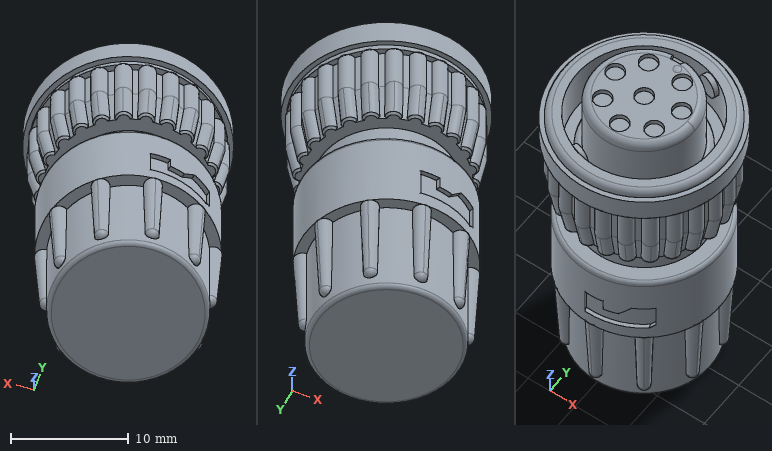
import cadquery as cq
import math


sleeve_top_z = 9.8
collar_top_z = 17.57
nut_bottom_z = 20.52
knurl_bend_z = 23.85
knurl_top_z = 27.95
flange_bottom_z = 28.45
flange_top_z = 30.8
rim_z = 31.48
total_height = 33.92
key_dot_height = 0.07
insert_top_z = total_height - key_dot_height

sleeve_radius = 7.0
sleeve_edge_fillet = 0.4

sleeve_rib_count = 10
sleeve_rib_tip_z = 1.8
sleeve_rib_first_angle = -90.0
sleeve_rib_top_radius = 0.8
sleeve_rib_tip_radius = 0.6
sleeve_rib_top_center = 7.22
sleeve_rib_tip_center = 7.0

collar_radius = 8.0
collar_edge_fillet = 0.4
neck_radius = 6.28

knurl_root_radius = 8.0
nut_band_radius = 8.55
flange_radius = 9.02
rim_edge_fillet = 0.65
bore_radius = 7.05
bore_floor_z = 26.7

knurl_rib_count = 24
knurl_first_angle = 10.0
knurl_rib_radius = 0.78
knurl_rib_center = 7.87
knurl_inset = 0.6
knurl_tip_chamfer = 0.2

insert_radius = 5.33
insert_edge_fillet = 0.78
shoulder_radius = 6.0
shoulder_height = 0.68
shoulder_fillet = 0.65
contact_count = 7
contact_hole_radius = 0.88
contact_circle_radius = 3.55
contact_step_angle = 50.0
contact_middle_angle = -90.0
contact_hole_depth = 0.5
keyway_outer_width = 1.55
keyway_inner_width = 1.02
key_dot_radius = 0.37
key_dot_x = 0.6
key_dot_y = 3.97

pair_angles = (-110.0, 70.0)
pin_radius = 1.12
pin_inner_reach = 6.48
pin_top_z = 31.38
latch_angles = (-70.0, 110.0)
latch_floor_radius = 7.6
latch_bottom_z = 11.15
latch_notch_z = 12.82
latch_top_z = 13.95
latch_half_width = 3.15
latch_notch_left = -1.4
latch_notch_slope_end = 1.15
latch_corner_width = 0.55
latch_corner_height = 0.4


def disc(radius, bottom_z, top_z):
    """Solid cylinder on the Z axis."""
    return cq.Workplane("XY", origin=(0, 0, bottom_z)).circle(radius).extrude(top_z - bottom_z)


def cone(bottom_radius, top_radius, bottom_z, top_z):
    """Solid truncated cone on the Z axis."""
    solid = cq.Solid.makeCone(bottom_radius, top_radius, top_z - bottom_z, cq.Vector(0, 0, bottom_z))
    return cq.Workplane(solid)


def rib_segment(low, high):
    """Round rib between two (centre distance, radius, z) stations above the +X axis."""
    low_center, low_radius, low_z = low
    high_center, high_radius, high_z = high
    return (
        cq.Workplane("XY", origin=(0, 0, low_z))
        .center(low_center, 0)
        .circle(low_radius)
        .workplane(offset=high_z - low_z)
        .center(high_center - low_center, 0)
        .circle(high_radius)
        .loft(ruled=True)
    )


def add_around(body, tool, count, first_angle):
    """Join evenly spaced copies of a tool drawn on the +X axis."""
    for index in range(count):
        body = body.union(tool.rotate((0, 0, 0), (0, 0, 1), first_angle + index * 360.0 / count))
    return body


def make_sleeve():
    sleeve = disc(sleeve_radius, 0, sleeve_top_z).faces("<Z").edges().fillet(sleeve_edge_fillet)
    rib = rib_segment(
        (sleeve_rib_tip_center, sleeve_rib_tip_radius, sleeve_rib_tip_z),
        (sleeve_rib_top_center, sleeve_rib_top_radius, sleeve_top_z),
    )
    tip = cq.Workplane("XY", origin=(sleeve_rib_tip_center, 0, sleeve_rib_tip_z)).sphere(
        sleeve_rib_tip_radius, angle1=-90, angle2=0
    )
    return add_around(sleeve, rib.union(tip), sleeve_rib_count, sleeve_rib_first_angle)


def make_latch_window(angle):
    """Shallow hook-shaped recess in the collar, cut toward the axis down to a round floor."""
    direction = math.radians(angle)
    plane = cq.Plane(
        origin=(0, 0, 0),
        xDir=(-math.sin(direction), math.cos(direction), 0),
        normal=(math.cos(direction), math.sin(direction), 0),
    )
    outline = (
        cq.Workplane(plane)
        .moveTo(-latch_half_width, latch_bottom_z)
        .lineTo(latch_half_width - latch_corner_width, latch_bottom_z)
        .lineTo(latch_half_width, latch_bottom_z + latch_corner_height)
        .lineTo(latch_half_width, latch_top_z)
        .lineTo(latch_notch_slope_end, latch_top_z)
        .lineTo(0, latch_notch_z)
        .lineTo(latch_notch_left, latch_notch_z)
        .lineTo(latch_notch_left, latch_top_z)
        .lineTo(-latch_half_width, latch_top_z)
        .close()
    )
    return outline.extrude(flange_radius).cut(disc(latch_floor_radius, sleeve_top_z, collar_top_z))


def make_collar():
    collar = disc(collar_radius, sleeve_top_z, collar_top_z).faces(">Z").edges().fillet(collar_edge_fillet)
    for angle in latch_angles:
        collar = collar.cut(make_latch_window(angle))
    return collar


def make_coupling_nut():
    nut = disc(flange_radius, flange_bottom_z, flange_top_z)
    rim = disc(nut_band_radius, knurl_top_z, rim_z).faces(">Z").edges().fillet(rim_edge_fillet)
    nut = nut.union(rim)
    nut = nut.union(disc(knurl_root_radius, knurl_bend_z, knurl_top_z))
    nut = nut.union(cone(knurl_root_radius - knurl_inset, knurl_root_radius, nut_bottom_z, knurl_bend_z))

    tip_center = knurl_rib_center - knurl_inset
    tip_z = nut_bottom_z + knurl_tip_chamfer
    bend = (knurl_rib_center, knurl_rib_radius, knurl_bend_z)
    lean_end = (tip_center, knurl_rib_radius, tip_z)
    rib = rib_segment(bend, (knurl_rib_center, knurl_rib_radius, knurl_top_z))
    rib = rib.union(rib_segment(lean_end, bend))
    rib = rib.union(rib_segment((tip_center, knurl_rib_radius - knurl_tip_chamfer, nut_bottom_z), lean_end))
    nut = add_around(nut, rib, knurl_rib_count, knurl_first_angle)

    nut = nut.cut(disc(bore_radius, bore_floor_z, rim_z))
    for angle in pair_angles:
        nut = nut.union(make_bayonet_pin(angle))
    return nut


def make_bayonet_pin(angle):
    """Round pin pointing inward from the bore wall."""
    wall_center = (bore_radius + nut_band_radius) / 2
    pin = (
        cq.Workplane("YZ", origin=(pin_inner_reach, 0, pin_top_z - pin_radius))
        .circle(pin_radius)
        .extrude(wall_center - pin_inner_reach)
    )
    return pin.rotate((0, 0, 0), (0, 0, 1), angle)


def make_insert():
    insert = disc(insert_radius, bore_floor_z, insert_top_z).faces(">Z").edges().fillet(insert_edge_fillet)

    shoulder = disc(shoulder_radius, bore_floor_z, bore_floor_z + shoulder_height)
    insert = insert.union(shoulder.faces(">Z").edges().fillet(shoulder_fillet))

    keyway_inner_y = insert_radius - insert_edge_fillet
    keyway = (
        cq.Workplane("XY", origin=(0, 0, insert_top_z - insert_edge_fillet))
        .polyline([
            (-keyway_inner_width / 2, keyway_inner_y),
            (keyway_inner_width / 2, keyway_inner_y),
            (keyway_outer_width / 2, insert_radius),
            (-keyway_outer_width / 2, insert_radius),
        ])
        .close()
        .extrude(insert_edge_fillet)
    )
    insert = insert.cut(keyway)

    first_angle = contact_middle_angle - contact_step_angle * (contact_count - 1) / 2
    holes = (
        cq.Workplane("XY", origin=(0, 0, insert_top_z - contact_hole_depth))
        .polarArray(contact_circle_radius, first_angle, contact_step_angle, contact_count, fill=False)
        .circle(contact_hole_radius)
        .extrude(contact_hole_depth)
    )
    center_hole = disc(contact_hole_radius, insert_top_z - contact_hole_depth, insert_top_z)
    return insert.cut(holes).cut(center_hole).union(make_key_dot())


def make_key_dot():
    """Low dome that marks the key side of the insert."""
    sphere_radius = (key_dot_radius**2 + key_dot_height**2) / (2 * key_dot_height)
    sphere_z = total_height - sphere_radius
    ball = cq.Workplane("XY", origin=(key_dot_x, key_dot_y, sphere_z)).sphere(sphere_radius)
    return ball.intersect(disc(insert_radius, insert_top_z, total_height))


neck = disc(neck_radius, collar_top_z, nut_bottom_z)
result = make_sleeve().union(make_collar()).union(neck).union(make_coupling_nut()).union(make_insert())